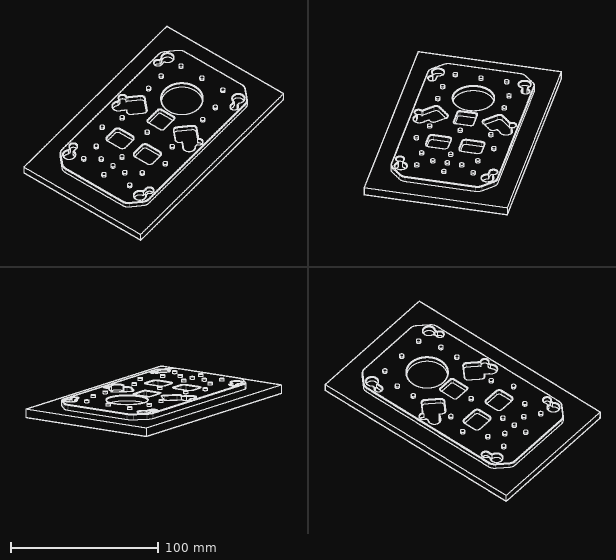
import cadquery as cq

width = 100.0
length = 160.0
total_height = 11.5

panel_thickness = 4.0
pin_height = 1.5
base_thickness = total_height - panel_thickness - pin_height
panel_top = base_thickness + panel_thickness

panel_width = 74.5
panel_length = 133.5
corner_cut = 10.2
corner_radius = 6.0
rim_chamfer = 0.5

pin_diameter = 3.0
top_pin_row_y = 54.0
middle_pin_row_y = -7.4
top_pin_x = 18.0
middle_pin_x = 21.5
outer_pin_x = 27.0
upper_pair_x = 23.2
lower_pair_x = 19.7
pin_pair_offset = 7.0

round_pocket_diameter = 28.0
round_pocket_y = 31.5

upright_size = (13.3, 14.0)
upright_radius = 1.3
sideways_size = (15.2, 13.3)
sideways_radius = 2.4
middle_row_y = 8.0
tilted_pocket_x = 21.5
tilt_angle = 45
lower_pocket_x = 11.7
lower_row_y = -22.4

keyhole_large_radius = 4.0
keyhole_small_radius = 2.5
keyhole_large_x = 30.2
keyhole_small_x = 32.6
keyhole_pitch = 7.7
keyhole_corner_y = 55.0
neck_width = 2.9
neck_x = keyhole_small_x - keyhole_small_radius + neck_width / 2

passage_size = (9.6, 9.6)
passage_x = 26.2
passage_y = 5.5

pin_cross_y = -45.6
pin_cross_arm = 10.0


def pocket_tool(outline, x, y, angle=0):
    """Cutter from the base up to the panel top, flaring at 45 degrees to chamfer the pocket rim."""
    shaft = cq.Workplane("XY").placeSketch(outline).extrude(panel_thickness)
    flare = cq.Workplane("XY", origin=(0, 0, panel_thickness - rim_chamfer))
    flare = flare.placeSketch(outline).extrude(rim_chamfer, taper=-45)
    tool = shaft.union(flare)
    return tool.rotate((0, 0, 0), (0, 0, 1), angle).translate((x, y, base_thickness))


def rounded_rectangle(size, radius):
    return cq.Sketch().rect(*size).vertices().fillet(radius)


def keyhole_tool(side, large_y, direction):
    """Keyhole cutter; side mirrors it in X, direction points from large to small circle in Y."""
    small_y = large_y + direction * keyhole_pitch
    large = pocket_tool(cq.Sketch().circle(keyhole_large_radius), side * keyhole_large_x, large_y)
    small = pocket_tool(cq.Sketch().circle(keyhole_small_radius), side * keyhole_small_x, small_y)
    neck_outline = cq.Sketch().rect(neck_width, keyhole_pitch)
    neck = pocket_tool(neck_outline, side * neck_x, (large_y + small_y) / 2)
    return large.union(neck).union(small)


def make_panel():
    """Raised panel with blunted corners, a chamfered top edge and all its pockets."""
    panel = cq.Workplane("XY", origin=(0, 0, base_thickness)).rect(panel_width, panel_length)
    panel = panel.extrude(panel_thickness)
    panel = panel.edges("|Z").chamfer(corner_cut)
    panel = panel.edges("|Z").fillet(corner_radius)
    panel = panel.faces(">Z").edges().chamfer(rim_chamfer)

    panel = panel.cut(pocket_tool(cq.Sketch().circle(round_pocket_diameter / 2), 0, round_pocket_y))
    upright = rounded_rectangle(upright_size, upright_radius)
    panel = panel.cut(pocket_tool(upright, 0, middle_row_y))

    sideways = rounded_rectangle(sideways_size, sideways_radius)
    passage = cq.Sketch().rect(*passage_size)
    for side in (-1, 1):
        panel = panel.cut(pocket_tool(sideways, side * lower_pocket_x, lower_row_y))
        panel = panel.cut(pocket_tool(sideways, side * tilted_pocket_x, middle_row_y, side * tilt_angle))
        panel = panel.cut(pocket_tool(passage, side * passage_x, passage_y, -side * tilt_angle))
        panel = panel.cut(keyhole_tool(side, 0, 1))
        panel = panel.cut(keyhole_tool(side, keyhole_corner_y, -1))
        panel = panel.cut(keyhole_tool(side, -keyhole_corner_y, 1))
    return panel


def pin_positions():
    """Pin centres, symmetric about the YZ plane."""
    centre_line = [
        top_pin_row_y,
        middle_pin_row_y,
        pin_cross_y + pin_cross_arm,
        pin_cross_y,
        pin_cross_y - pin_cross_arm,
    ]
    mirrored = [
        (top_pin_x, top_pin_row_y),
        (upper_pair_x, round_pocket_y + pin_pair_offset),
        (upper_pair_x, round_pocket_y - pin_pair_offset),
        (middle_pin_x, middle_pin_row_y),
        (outer_pin_x, lower_row_y),
        (lower_pair_x, pin_cross_y + pin_pair_offset),
        (lower_pair_x, pin_cross_y - pin_pair_offset),
        (pin_cross_arm, pin_cross_y),
    ]
    points = [(0, y) for y in centre_line]
    points += [(side * x, y) for x, y in mirrored for side in (-1, 1)]
    return points


base = cq.Workplane("XY").rect(width, length).extrude(base_thickness)
pins = cq.Workplane("XY", origin=(0, 0, panel_top)).pushPoints(pin_positions())
pins = pins.circle(pin_diameter / 2).extrude(pin_height)

result = base.union(make_panel()).union(pins)